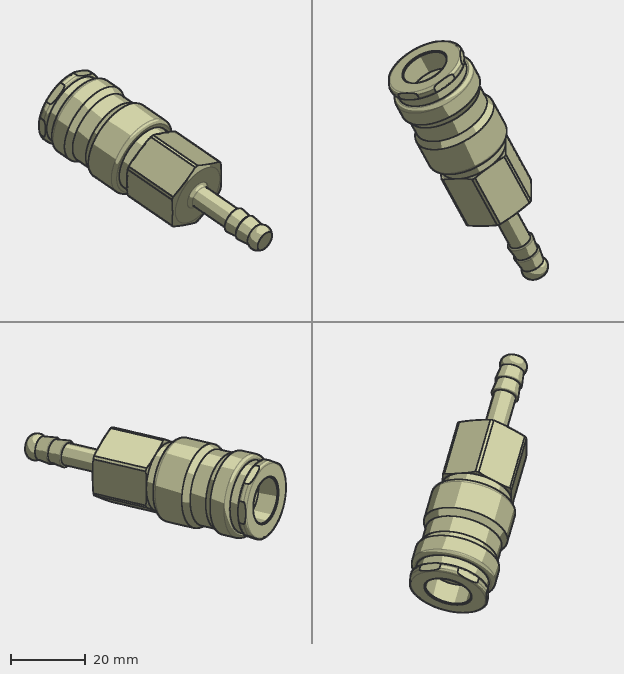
import cadquery as cq
import math


collar_length = 2.5
collar_diameter = 22.0
collar_flats = 21.0
collar_fillet = 0.7
bore_diameter = 12.6
bore_depth = 6.1
bore_chamfer = 0.3

front_neck_diameter = 20.1
rear_neck_diameter = 18.95

sleeve_start = 5.2
sleeve_end = 28.75
sleeve_diameter = 23.15
sleeve_edge_fillet = 1.0
grip_diameter = 21.0
grip_start = 12.5
grip_end = 17.35
grip_cone_length = 2.0

hex_start = 31.6
hex_end = 48.6
hex_flats = rear_neck_diameter
hex_corner_diameter = 21.4
hex_front_face_diameter = 20.0
hex_front_chamfer_length = 0.2
hex_rear_face_diameter = 17.3
hex_rear_chamfer_length = 0.4

tail_end = 73.5
tail_diameter = 6.1
tail_root_fillet = 0.95
barb_start = 62.0
barb_pitch = 4.05
barb_count = 2
barb_crest_diameter = 7.4
barb_crest_fillet = 0.2
barb_root_diameter = 6.5
bulb_crest_setback = 1.9
tip_face_diameter = 5.65


def hexagon_bar(start, length, across_flats):
    """Hexagonal bar along X with two of its flats facing -Y and +Y."""
    corner_circle = across_flats / math.cos(math.pi / 6)
    return (
        cq.Workplane("YZ", origin=(start, 0, 0))
        .transformed(rotate=(0, 0, 90))
        .polygon(6, corner_circle)
        .extrude(length)
    )


def cylinder(start, end, diameter):
    """Round bar along X."""
    return cq.Workplane("YZ", origin=(start, 0, 0)).circle(diameter / 2).extrude(end - start)


def revolve_about_x(open_profile):
    """Close a profile drawn in the XY plane and turn it once around the X axis."""
    return open_profile.close().revolve(360, (0, 0, 0), (1, 0, 0))


def make_collar():
    """Round collar with filleted rims and six wrench flats."""
    disc = cylinder(0, collar_length, collar_diameter).edges().fillet(collar_fillet)
    return disc.intersect(hexagon_bar(0, collar_length, collar_flats))


def make_wrench_hexagon():
    """Hexagon whose corners are turned down and chamfered at both ends."""
    corner_radius = hex_corner_diameter / 2
    turned_outline = [
        (hex_start, 0),
        (hex_start, hex_front_face_diameter / 2),
        (hex_start + hex_front_chamfer_length, corner_radius),
        (hex_end - hex_rear_chamfer_length, corner_radius),
        (hex_end, hex_rear_face_diameter / 2),
        (hex_end, 0),
    ]
    turned = revolve_about_x(cq.Workplane("XY").polyline(turned_outline))
    return turned.intersect(hexagon_bar(hex_start, hex_end - hex_start, hex_flats))


def make_tail():
    """Hose tail: filleted root, plain tube, tapered barbs and a rounded tip."""
    tube_radius = tail_diameter / 2
    crest_radius = barb_crest_diameter / 2
    root_radius = barb_root_diameter / 2
    bulb_crest_x = tail_end - bulb_crest_setback

    profile = (
        cq.Workplane("XY")
        .moveTo(hex_end, 0)
        .lineTo(hex_end, tube_radius + tail_root_fillet)
        .radiusArc((hex_end + tail_root_fillet, tube_radius), -tail_root_fillet)
        .lineTo(barb_start, tube_radius)
    )
    for index in range(barb_count):
        crest_x = barb_start + index * barb_pitch
        profile = (
            profile
            .lineTo(crest_x, crest_radius - barb_crest_fillet)
            .radiusArc((crest_x + barb_crest_fillet, crest_radius), barb_crest_fillet)
            .lineTo(crest_x + barb_pitch, root_radius)
        )
    profile = profile.threePointArc((bulb_crest_x, crest_radius), (tail_end, tip_face_diameter / 2))
    return revolve_about_x(profile.lineTo(tail_end, 0))


def make_core():
    """Collar, necks, wrench hexagon and hose tail as one piece with a blind front bore."""
    core = make_collar()
    core = core.union(cylinder(collar_length, sleeve_start, front_neck_diameter))
    core = core.union(cylinder(sleeve_start, hex_start, rear_neck_diameter))
    core = core.union(make_wrench_hexagon())
    core = core.union(make_tail())
    core = core.cut(cylinder(0, bore_depth, bore_diameter))
    bore_mouth = cq.selectors.RadiusNthSelector(0)
    return core.faces("<X").edges("%CIRCLE").edges(bore_mouth).chamfer(bore_chamfer)


def make_sleeve():
    """Grip sleeve with a waist between two rims, sliding on the rear neck diameter."""
    outer_radius = sleeve_diameter / 2
    grip_radius = grip_diameter / 2
    bore_radius = rear_neck_diameter / 2
    outline = [
        (sleeve_start, bore_radius),
        (sleeve_start, outer_radius),
        (grip_start - grip_cone_length, outer_radius),
        (grip_start, grip_radius),
        (grip_end, grip_radius),
        (grip_end + grip_cone_length, outer_radius),
        (sleeve_end, outer_radius),
        (sleeve_end, bore_radius),
    ]
    blank = revolve_about_x(cq.Workplane("XY").polyline(outline))
    outer_rims = cq.selectors.RadiusNthSelector(-1)
    return blank.faces("<X or >X").edges(outer_rims).fillet(sleeve_edge_fillet)


core = make_core()
sleeve = make_sleeve()

result = cq.Compound.makeCompound([core.val(), sleeve.val()])